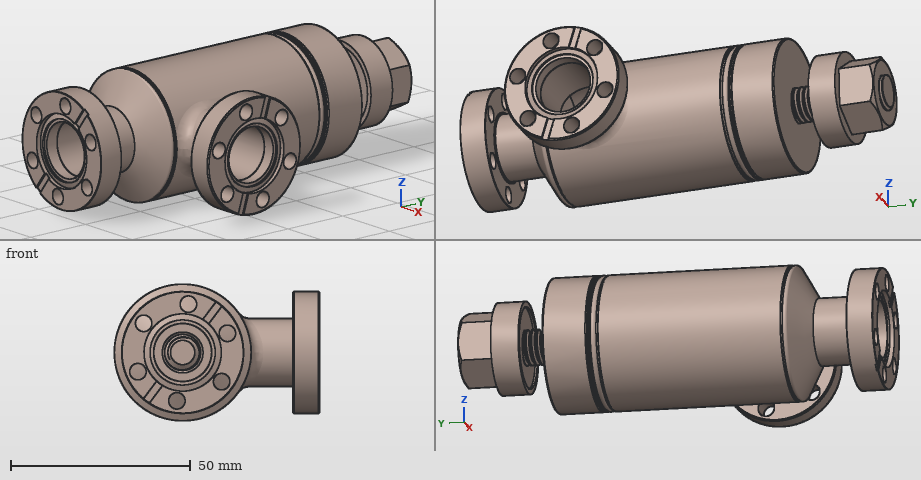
import cadquery as cq
import math


total_length = 121.0
eps = 0.1

flange_diameter = 34.0
flange_thickness = 7.5
flange_bore_radius = 8.1
recess_radius = 10.8
recess_depth = 1.5
knife_radius = 9.1
knife_depth = 0.8
bolt_count = 6
bolt_circle_radius = 13.5
bolt_hole_radius = 2.3
leak_groove_width = 2.0
leak_groove_depth = 0.5
socket_floor = 5.2
end_hole_angle = 23.2
side_hole_angle = 43.0
end_hub_radius = 10.0
end_hub_height = 0.2
end_rim_chamfer = 0.1
side_rim_chamfer = 0.4

body_diameter = 38.1
wall = 1.5
nozzle_diameter = 19.0
cone_bottom = 18.6
cone_top = 24.0
lower_bead_top = 25.4
tube_bottom = 25.9
tube_top = 77.9
upper_bead_bottom = 78.5
upper_bead_top = 80.2
rim_bottom = 80.4
housing_top = 81.2
rim_chamfer = 0.4
neck_depth = 0.5
side_axis = 38.0
side_reach = 57.2
port_blend_radius = 3.4

bonnet_top = 93.8
bonnet_chamfer = 0.4

crest_diameter = 10.0
root_radius = 4.1
thread_pitch = 1.6
crest_width = 0.18
spindle_tip_radius = 3.4
countersink_radius = 5.7

nut_top = 120.0
hex_bottom = 109.8
collar_bottom = 102.0
collar_diameter = 26.0
collar_recess_radius = 11.5
collar_recess_depth = 0.6
across_flats = 18.9
hex_turn = 3.2
hex_crown_radius = 9.2
hex_crown_height = 1.2

flange_radius = flange_diameter / 2
body_radius = body_diameter / 2
nozzle_radius = nozzle_diameter / 2
collar_radius = collar_diameter / 2
crest_radius = crest_diameter / 2
side_face = side_reach - body_radius
spindle_start = housing_top
neck_radius = body_radius - neck_depth
outside_radius = body_radius + port_blend_radius
chamber_radius = neck_radius - wall
nozzle_bore_radius = nozzle_radius - wall


def revolve_about_y(profile):
    """Solid of revolution about the main axis; the profile is drawn as (radius, y)."""
    return profile.close().revolve(360, (0, 0, 0), (0, 1, 0))


def rod(radius, start, end):
    """Cylinder on the main axis between two Y positions."""
    return cq.Workplane("XZ", origin=(0, start, 0)).circle(radius).extrude(start - end)


def along_side_port(shape):
    """Move a shape made on the main axis, base at Y = 0 facing -Y, to the side port, facing +X."""
    turned = shape.rotate((0, 0, 0), (0, 0, 1), 90)
    return turned.translate((side_face, side_axis, 0))


def make_flange(hole_angle, edge_chamfer):
    """Knife-edge flange with its sealing face at Y = 0, facing -Y."""
    flange = rod(flange_radius, 0, flange_thickness).edges().chamfer(edge_chamfer)
    bore = rod(flange_bore_radius, -eps, flange_thickness + eps)
    socket = rod(nozzle_radius, socket_floor, flange_thickness + eps)
    seal_recess = revolve_about_y(
        cq.Workplane("XY")
        .moveTo(0, -eps)
        .lineTo(recess_radius, -eps)
        .lineTo(recess_radius, recess_depth)
        .lineTo(knife_radius, knife_depth)
        .lineTo(knife_radius, recess_depth)
        .lineTo(0, recess_depth)
    )
    flange = flange.cut(bore).cut(socket).cut(seal_recess)

    bolt_holes = (
        cq.Workplane("XZ", origin=(0, -eps, 0))
        .polarArray(bolt_circle_radius, hole_angle, 360, bolt_count)
        .circle(bolt_hole_radius)
        .extrude(-(flange_thickness + 2 * eps))
    )
    leak_groove = (
        cq.Workplane("XY")
        .box(2 * (flange_radius + eps), 2 * leak_groove_depth, leak_groove_width)
        .rotate((0, 0, 0), (0, 1, 0), -(hole_angle + 180 / bolt_count))
    )
    return flange.cut(bolt_holes).cut(leak_groove)


def make_end_flange():
    hub = rod(end_hub_radius, flange_thickness - eps, flange_thickness + end_hub_height)
    hub = hub.cut(rod(nozzle_radius, 0, total_length))
    return make_flange(end_hole_angle, end_rim_chamfer).union(hub)


def make_side_flange():
    return along_side_port(make_flange(side_hole_angle, side_rim_chamfer))


def bead_relief(bottom, top):
    """Ring of material around a rounded bead."""
    return revolve_about_y(
        cq.Workplane("XY")
        .moveTo(outside_radius, bottom)
        .lineTo(neck_radius, bottom)
        .threePointArc((body_radius, (bottom + top) / 2), (neck_radius, top))
        .lineTo(outside_radius, top)
    )


def neck_groove(bottom, top):
    """Ring of material around a neck."""
    return rod(outside_radius, bottom, top).cut(rod(neck_radius, bottom, top))


def make_housing():
    shell = rod(body_radius, cone_top - port_blend_radius, housing_top)
    shell = shell.faces(">Y").chamfer(rim_chamfer)
    side_nozzle = along_side_port(rod(nozzle_radius, socket_floor, side_face))
    shell = shell.union(side_nozzle)
    seam = cq.selectors.BoxSelector(
        (nozzle_radius, side_axis - nozzle_radius - 1.2, -nozzle_radius - 1.2),
        (body_radius + 1.2, side_axis + nozzle_radius + 1.2, nozzle_radius + 1.2),
        boundingbox=True,
    )
    shell = shell.edges(seam).fillet(port_blend_radius)
    shell = shell.cut(rod(2 * body_radius, 0, cone_top))

    inlet = revolve_about_y(
        cq.Workplane("XY")
        .moveTo(0, socket_floor)
        .lineTo(nozzle_radius, socket_floor)
        .lineTo(nozzle_radius, cone_bottom)
        .lineTo(neck_radius, cone_top)
        .lineTo(0, cone_top)
    )
    shell = shell.union(inlet)
    for bottom, top in [(cone_top, lower_bead_top), (upper_bead_bottom, upper_bead_top)]:
        shell = shell.cut(bead_relief(bottom, top))
    for bottom, top in [
        (lower_bead_top, tube_bottom),
        (tube_top, upper_bead_bottom),
        (upper_bead_top, rim_bottom),
    ]:
        shell = shell.cut(neck_groove(bottom, top))

    chamber = revolve_about_y(
        cq.Workplane("XY")
        .moveTo(0, 0)
        .lineTo(nozzle_bore_radius, 0)
        .lineTo(nozzle_bore_radius, cone_bottom)
        .lineTo(chamber_radius, cone_top)
        .lineTo(chamber_radius, housing_top)
        .lineTo(0, housing_top)
    )
    side_bore = along_side_port(rod(nozzle_bore_radius, 0, side_face))
    return shell.cut(chamber).cut(side_bore)


def make_bonnet():
    bonnet = rod(body_radius, housing_top, bonnet_top).edges().chamfer(bonnet_chamfer)
    countersink_depth = countersink_radius - crest_radius
    spindle_hole = revolve_about_y(
        cq.Workplane("XY")
        .moveTo(0, housing_top)
        .lineTo(countersink_radius, housing_top)
        .lineTo(crest_radius, housing_top + countersink_depth)
        .lineTo(crest_radius, bonnet_top)
        .lineTo(0, bonnet_top)
    )
    return bonnet.cut(spindle_hole)


def make_thread_groove(length):
    """Helical V groove around Z, from Z = 0 up; its mouth is widened to pass the crest."""
    mouth_radius = crest_radius + eps
    mouth_half_width = (thread_pitch - crest_width) / 2
    root_half_width = crest_width / 3
    helix = cq.Wire.makeHelix(thread_pitch, length, root_radius)
    return (
        cq.Workplane("XZ")
        .moveTo(root_radius, -root_half_width)
        .lineTo(mouth_radius, -mouth_half_width)
        .lineTo(mouth_radius, mouth_half_width)
        .lineTo(root_radius, root_half_width)
        .close()
        .sweep(cq.Workplane(helix), isFrenet=True)
    )


def make_spindle():
    """Threaded rod, made along Z from its lower end at the origin and then laid along Y."""
    length = total_length - spindle_start
    overrun = 2 * thread_pitch
    groove = make_thread_groove(length + overrun).translate((0, 0, -thread_pitch))
    below = cq.Workplane("XY").circle(outside_radius).extrude(-2 * overrun)
    above = cq.Workplane("XY", origin=(0, 0, length)).circle(outside_radius).extrude(2 * overrun)
    chamfer_size = crest_radius + eps - spindle_tip_radius
    tip_chamfer = (
        cq.Workplane("XZ")
        .moveTo(spindle_tip_radius, 0)
        .lineTo(spindle_tip_radius + chamfer_size, chamfer_size)
        .lineTo(spindle_tip_radius + chamfer_size, 0)
        .close()
        .revolve(360, (0, 0, 0), (0, 1, 0))
    )
    blank = cq.Workplane("XY", origin=(0, 0, -overrun)).circle(crest_radius)
    spindle = blank.extrude(length + 2 * overrun).cut(groove)
    spindle = spindle.cut(below).cut(above).cut(tip_chamfer)
    return spindle.rotate((0, 0, 0), (1, 0, 0), -90).translate((0, spindle_start, 0))


def make_nut():
    corner_radius = across_flats / math.sqrt(3)
    hexagon = (
        cq.Workplane("XZ", origin=(0, hex_bottom, 0))
        .polygon(6, 2 * corner_radius)
        .extrude(hex_bottom - nut_top)
        .rotate((0, 0, 0), (0, 1, 0), 30 + hex_turn)
    )
    crown = revolve_about_y(
        cq.Workplane("XY")
        .moveTo(0, hex_bottom)
        .lineTo(corner_radius + eps, hex_bottom)
        .lineTo(corner_radius + eps, nut_top - hex_crown_height)
        .lineTo(hex_crown_radius, nut_top)
        .lineTo(0, nut_top)
    )
    collar = rod(collar_radius, collar_bottom, hex_bottom)
    recess = rod(collar_recess_radius, collar_bottom, collar_bottom + collar_recess_depth)
    nut = hexagon.intersect(crown).union(collar).cut(recess)
    return nut.cut(rod(crest_radius, collar_bottom, nut_top))


housing = make_housing()
end_flange = make_end_flange()
side_flange = make_side_flange()
bonnet = make_bonnet()
spindle = make_spindle()
nut = make_nut()

result = cq.Compound.makeCompound(
    [
        housing.val(),
        end_flange.val(),
        side_flange.val(),
        bonnet.val(),
        spindle.val(),
        nut.val(),
    ]
)